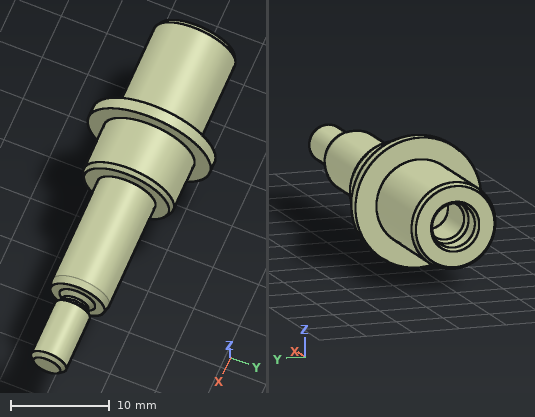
import cadquery as cq
import math

flange_start = 11.1
flange_thickness = 1.3
collar_end = 18.32
shank_end = 31.15
total_length = 39.15

sleeve_diameter = 9.0
flange_diameter = 13.5
collar_diameter = 10.0
shank_diameter = 6.4
pin_diameter = 3.9
neck_diameter = 2.9

sleeve_chamfer_length = 0.5
collar_chamfer_length = 0.55
end_chamfer_angle = 30.0
shank_chamfer_length = 0.82
shank_chamfer_angle = 15.0
pin_chamfer = 0.47

neck_length = 0.3
groove_wall = (pin_diameter - neck_diameter) / 2

bore_diameter = 4.6
bore_depth = 2.43
mouth_chamfer_depth = 0.5
mouth_chamfer_angle = 30.0
key_hole_diameter = 4.0
key_flat_offset = 1.5
key_hole_end = 7.83
lead_in_angle = 30.0


def chamfer_drop(length, angle):
    """Radial size of a chamfer from its axial length and its angle to the axis."""
    return length * math.tan(math.radians(angle))


def revolve_about_x(profile):
    """Turn a closed (x, radius) outline into a solid of revolution about X."""
    return cq.Workplane("XY").polyline(profile).close().revolve(360, (0, 0, 0), (1, 0, 0))


def make_body():
    """Revolve the stepped outer profile about the X axis."""
    sleeve_radius = sleeve_diameter / 2
    flange_radius = flange_diameter / 2
    collar_radius = collar_diameter / 2
    shank_radius = shank_diameter / 2
    pin_radius = pin_diameter / 2
    neck_radius = neck_diameter / 2
    flange_end = flange_start + flange_thickness
    neck_start = shank_end + groove_wall
    neck_end = neck_start + neck_length
    profile = [
        (0, 0),
        (0, sleeve_radius - chamfer_drop(sleeve_chamfer_length, end_chamfer_angle)),
        (sleeve_chamfer_length, sleeve_radius),
        (flange_start, sleeve_radius),
        (flange_start, flange_radius),
        (flange_end, flange_radius),
        (flange_end, collar_radius),
        (collar_end - collar_chamfer_length, collar_radius),
        (collar_end, collar_radius - chamfer_drop(collar_chamfer_length, end_chamfer_angle)),
        (collar_end, shank_radius),
        (shank_end - shank_chamfer_length, shank_radius),
        (shank_end, shank_radius - chamfer_drop(shank_chamfer_length, shank_chamfer_angle)),
        (shank_end, pin_radius),
        (neck_start, neck_radius),
        (neck_end, neck_radius),
        (neck_end + groove_wall, pin_radius),
        (total_length - pin_chamfer, pin_radius),
        (total_length, pin_radius - pin_chamfer),
        (total_length, 0),
    ]
    return revolve_about_x(profile)


def make_bore():
    """Round bore with a chamfered mouth."""
    bore_radius = bore_diameter / 2
    mouth_radius = bore_radius + chamfer_drop(mouth_chamfer_depth, mouth_chamfer_angle)
    return revolve_about_x([
        (0, 0),
        (0, mouth_radius),
        (mouth_chamfer_depth, bore_radius),
        (bore_depth, bore_radius),
        (bore_depth, 0),
    ])


def make_key_hole():
    """D-shaped hole, flat on the +Y side, whose entry tapers out to the bore diameter."""
    bore_radius = bore_diameter / 2
    key_radius = key_hole_diameter / 2
    taper_width = bore_radius - key_radius
    taper_end = bore_depth + taper_width / math.tan(math.radians(lead_in_angle))
    round_hole = revolve_about_x([
        (bore_depth, 0),
        (bore_depth, bore_radius),
        (taper_end, key_radius),
        (key_hole_end, key_radius),
        (key_hole_end, 0),
    ])
    flat_side = (
        cq.Workplane("XY")
        .polyline([
            (bore_depth, -bore_radius),
            (bore_depth, key_flat_offset + taper_width),
            (taper_end, key_flat_offset),
            (key_hole_end, key_flat_offset),
            (key_hole_end, -bore_radius),
        ])
        .close()
        .extrude(bore_radius, both=True)
    )
    return round_hole.intersect(flat_side)


result = make_body().cut(make_bore()).cut(make_key_hole())